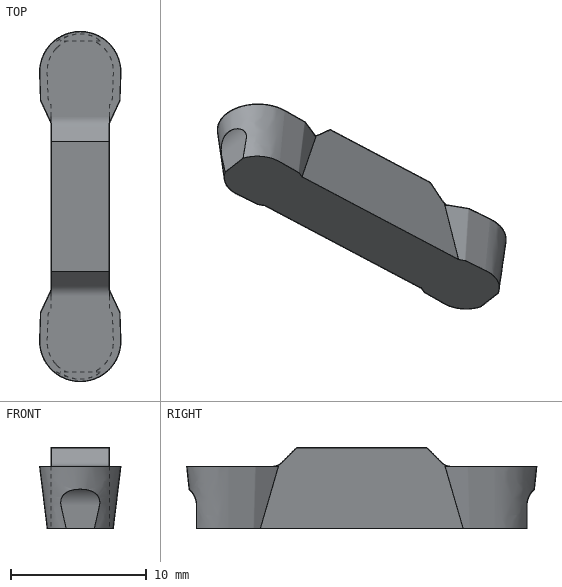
import cadquery as cq
import math

total_length = 25.8
total_height = 5.97
head_height = 4.58
head_radius = 3.0
side_clearance = 7.0
nose_clearance = 6.1
flank_angle = 2.0
relief_angle = 25.0
flank_end_y = 7.81
corner_fillet = 0.2
shank_width = 4.3
ridge_angle = 45.0
ridge_fillet = 1.0
ridge_foot_y = 6.59
notch_face_y = 12.18
notch_flat_height = 1.70
notch_radius = 1.6

head_center_y = total_length / 2 - head_radius
shank_end_y = (flank_end_y + head_center_y) / 2


def make_shank():
    """Constant-width bar whose side profile carries the raised ridge."""
    slope = math.radians(ridge_angle)
    blend_y = ridge_foot_y - ridge_fillet * math.sin(slope)
    blend_z = head_height + ridge_fillet * (1 - math.cos(slope))
    mid_y = ridge_foot_y - ridge_fillet * math.sin(slope / 2)
    mid_z = head_height + ridge_fillet * (1 - math.cos(slope / 2))
    ridge_top_y = blend_y - (total_height - blend_z) / math.tan(slope)
    return (
        cq.Workplane("YZ")
        .moveTo(-shank_end_y, 0)
        .lineTo(shank_end_y, 0)
        .lineTo(shank_end_y, head_height)
        .lineTo(ridge_foot_y, head_height)
        .threePointArc((mid_y, mid_z), (blend_y, blend_z))
        .lineTo(ridge_top_y, total_height)
        .lineTo(-ridge_top_y, total_height)
        .lineTo(-blend_y, blend_z)
        .threePointArc((-mid_y, mid_z), (-ridge_foot_y, head_height))
        .lineTo(-shank_end_y, head_height)
        .close()
        .extrude(shank_width / 2, both=True)
    )


def head_outline(height, side_inset, nose_inset):
    """Closed outline of the head at a given height, drawn in from its top outline."""
    flank = math.radians(flank_angle)
    relief = math.radians(relief_angle)
    top_tangent_x = head_radius * math.cos(flank)
    tangent_y = head_center_y - head_radius * math.sin(flank)
    tangent_x = top_tangent_x - side_inset / math.cos(flank)

    corner_slide = (
        side_inset
        * (1 / math.cos(relief) - 1 / math.cos(flank))
        / (math.tan(relief) - math.tan(flank))
    )
    corner_y = flank_end_y + corner_slide
    corner_x = tangent_x - (tangent_y - corner_y) * math.tan(flank)
    root_x = shank_width / 4
    root_y = corner_y - (corner_x - root_x) / math.tan(relief)
    return (
        cq.Workplane("XY", origin=(0, 0, height))
        .moveTo(root_x, root_y)
        .lineTo(corner_x, corner_y)
        .lineTo(tangent_x, tangent_y)
        .threePointArc((0, total_length / 2 - nose_inset), (-tangent_x, tangent_y))
        .lineTo(-corner_x, corner_y)
        .lineTo(-root_x, root_y)
        .close()
        .val()
    )


def make_head():
    """Round-nosed head at the +Y end, narrowing downwards on every wall."""
    base_side_inset = head_height * math.tan(math.radians(side_clearance))
    base_nose_inset = head_height * math.tan(math.radians(nose_clearance))
    base = head_outline(0, base_side_inset, base_nose_inset)
    top = head_outline(head_height, 0, 0)
    head = cq.Workplane("XY").add(cq.Solid.makeLoft([base, top], True))

    zone = cq.selectors.BoxSelector(
        (-head_radius, flank_end_y - corner_fillet, 0),
        (head_radius, flank_end_y + corner_fillet, head_height),
    )
    return head.edges(zone).fillet(corner_fillet)


def make_notch():
    """Cutter for the flat under the nose and its concave runout."""
    flat = (
        cq.Workplane("XY")
        .box(2 * head_radius, notch_radius, notch_flat_height, centered=(True, False, False))
        .translate((0, notch_face_y, 0))
    )
    runout = (
        cq.Workplane("YZ")
        .center(notch_face_y + notch_radius, notch_flat_height)
        .circle(notch_radius)
        .extrude(head_radius, both=True)
    )
    return flat.union(runout)


head = make_head().cut(make_notch())
result = make_shank().union(head).union(head.mirror("XZ"))